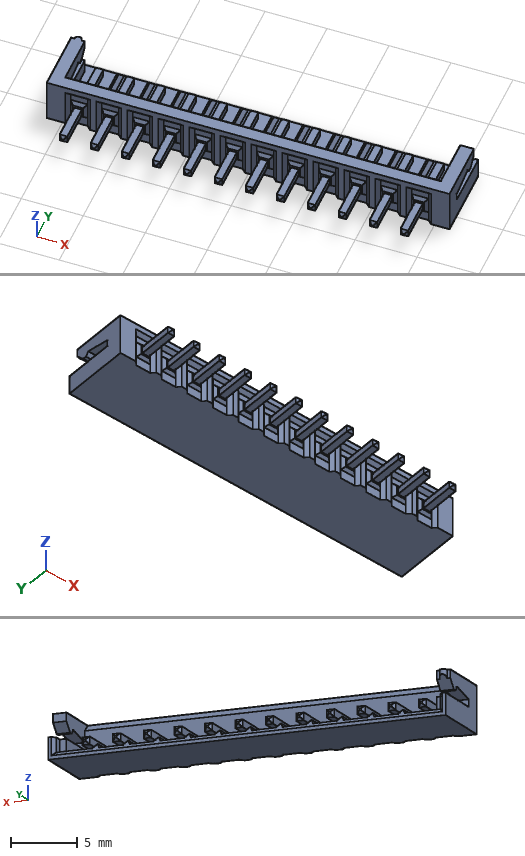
import cadquery as cq

LENGTH = 32.5
DEPTH = 6.0
HEIGHT = 3.8

REAR_WALL = 1.0
REAR_CHAMFER = 0.55
CAVITY_REAR = REAR_WALL + REAR_CHAMFER
END_WALL = 1.1
MOUTH_END_WALL = 0.55
MOUTH_REAR = 5.1
END_WALL_TOP = 1.75
FLOOR = 0.6
LEAD_IN = 0.3

RIDGE_HALF_WIDTH = 0.3
RIDGE_HEIGHT = 0.42

ARM_TIP_Y = MOUTH_REAR
HOOK_Z = 2.4
HOOK_FRONT_Y = 4.4
HOOK_REAR_Y = 4.05
ARM_TIP_Z = HOOK_Z + ARM_TIP_Y - HOOK_FRONT_Y
ARM_THIN_Y = 3.8
ARM_THIN_Z = 2.75
ARM_ROOT_Z = 2.35
NOSE_RADIUS = 0.3

PIN_COUNT = 12
PIN_PITCH = LENGTH / (PIN_COUNT + 1)
PIN_WIDTH = 0.62
PIN_Z = 1.55
PIN_REAR = 3.2
PIN_FRONT_Y = 4.8
PIN_POINT = 0.23

POCKET_WIDTH = 2.0
POCKET_TOP = 3.25
POCKET_TAPER = 0.32
HUB_HEIGHT = 1.45
HUB_Z = 1.6
HUB_TAPER = 0.25

pin_positions = [(i - (PIN_COUNT - 1) / 2) * PIN_PITCH for i in range(PIN_COUNT)]


def side_prism(points, x_start, width):
    """Extrude a (Y, Z) outline along +X from x_start."""
    return cq.Workplane("YZ", origin=(x_start, 0, 0)).polyline(points).close().extrude(width)


def plan_prism(points, z_start, height):
    """Extrude an (X, Y) outline upward from z_start."""
    return cq.Workplane("XY", origin=(0, 0, z_start)).polyline(points).close().extrude(height)


def make_base():
    """Rear wall and low tray, joined in one L-shaped side section."""
    section = [
        (0, 0),
        (DEPTH, 0),
        (DEPTH, END_WALL_TOP),
        (CAVITY_REAR, END_WALL_TOP),
        (CAVITY_REAR, HEIGHT - REAR_CHAMFER),
        (REAR_WALL, HEIGHT),
        (0, HEIGHT),
    ]
    return side_prism(section, -LENGTH / 2, LENGTH)


def make_ridge(x):
    """Triangular ridge on the tray floor, running along Y."""
    return (
        cq.Workplane("XZ", origin=(x, DEPTH, FLOOR))
        .polyline([(-RIDGE_HALF_WIDTH, 0), (RIDGE_HALF_WIDTH, 0), (0, RIDGE_HEIGHT)])
        .close()
        .extrude(DEPTH - CAVITY_REAR)
    )


def make_cavity():
    """Stepped space between the end walls, less the ridges on its floor."""
    narrow = LENGTH / 2 - END_WALL
    wide = LENGTH / 2 - MOUTH_END_WALL
    plan = [
        (-narrow, CAVITY_REAR),
        (-narrow, MOUTH_REAR),
        (-wide, MOUTH_REAR),
        (-wide, DEPTH),
        (wide, DEPTH),
        (wide, MOUTH_REAR),
        (narrow, MOUTH_REAR),
        (narrow, CAVITY_REAR),
    ]
    cavity = plan_prism(plan, FLOOR, END_WALL_TOP - FLOOR)
    for x in pin_positions[:-1]:
        cavity = cavity.cut(make_ridge(x + PIN_PITCH / 2))
    return cavity


def make_lead_in():
    """Cutter that flares the mouth at 45 degrees along the floor, ridges and end walls."""
    half = LENGTH / 2 - MOUTH_END_WALL
    flare_rear = DEPTH - LEAD_IN
    ridge_rear = flare_rear - RIDGE_HEIGHT
    flared_plan = [
        (-half, ridge_rear),
        (-half, flare_rear),
        (-half - LEAD_IN, DEPTH),
        (half + LEAD_IN, DEPTH),
        (half, flare_rear),
        (half, ridge_rear),
    ]
    sloped_side = [
        (DEPTH, FLOOR - LEAD_IN),
        (DEPTH, END_WALL_TOP),
        (ridge_rear, END_WALL_TOP),
        (ridge_rear, FLOOR + RIDGE_HEIGHT),
    ]
    flare = plan_prism(flared_plan, 0, END_WALL_TOP)
    return flare.intersect(side_prism(sloped_side, -LENGTH / 2, LENGTH))


def make_arm(left, tip_y, tip_z):
    """Hooked latch arm joined to the end of the rear wall, starting at X = left."""
    outline = [
        (0, HEIGHT),
        (tip_y, HEIGHT),
        (tip_y, tip_z),
        (HOOK_FRONT_Y, HOOK_Z),
        (HOOK_REAR_Y, HOOK_Z),
        (ARM_THIN_Y, ARM_THIN_Z),
        (CAVITY_REAR, ARM_ROOT_Z),
        (CAVITY_REAR, 0),
        (0, 0),
    ]
    return side_prism(outline, left, END_WALL)


def make_nose(left):
    """Half-round nose on an arm tip, following the 45 degree underside of the hook."""
    post = (
        cq.Workplane("XY", origin=(left + END_WALL / 2, ARM_TIP_Y, 0))
        .circle(NOSE_RADIUS)
        .extrude(HEIGHT)
    )
    return post.intersect(make_arm(left, ARM_TIP_Y + NOSE_RADIUS, ARM_TIP_Z + NOSE_RADIUS))


def make_pin(x):
    """Square pin along Y with both ends chamfered."""
    pin = cq.Workplane("XZ", origin=(x, PIN_FRONT_Y, PIN_Z)).rect(PIN_WIDTH, PIN_WIDTH)
    return pin.extrude(PIN_FRONT_Y + PIN_REAR).faces("<Y or >Y").chamfer(PIN_POINT)


def make_pocket(x):
    """Tapered recess in the rear face, open at the underside."""
    half = POCKET_WIDTH / 2
    inner = half - POCKET_TAPER
    plan = [(x - half, 0), (x + half, 0), (x + inner, POCKET_TAPER), (x - inner, POCKET_TAPER)]
    side = [(0, 0), (0, POCKET_TOP), (POCKET_TAPER, POCKET_TOP - POCKET_TAPER), (POCKET_TAPER, 0)]
    return plan_prism(plan, 0, POCKET_TOP).intersect(side_prism(side, x - half, POCKET_WIDTH))


def make_hub(x):
    """Raised frustum around the pin on the pocket's back face."""
    hub_width = POCKET_WIDTH - 2 * POCKET_TAPER
    return (
        cq.Workplane("XZ", origin=(x, POCKET_TAPER, HUB_Z))
        .rect(hub_width, HUB_HEIGHT)
        .workplane(offset=HUB_TAPER)
        .rect(hub_width - 2 * HUB_TAPER, HUB_HEIGHT - 2 * HUB_TAPER)
        .loft()
    )


left_end = -LENGTH / 2
right_arm_start = LENGTH / 2 - END_WALL

result = make_base().cut(make_cavity()).cut(make_lead_in())
result = result.union(make_arm(left_end, ARM_TIP_Y, ARM_TIP_Z)).union(make_nose(left_end))
result = result.union(make_arm(right_arm_start, ARM_TIP_Y, ARM_TIP_Z))
for x in pin_positions:
    result = result.cut(make_pocket(x)).union(make_hub(x)).union(make_pin(x))